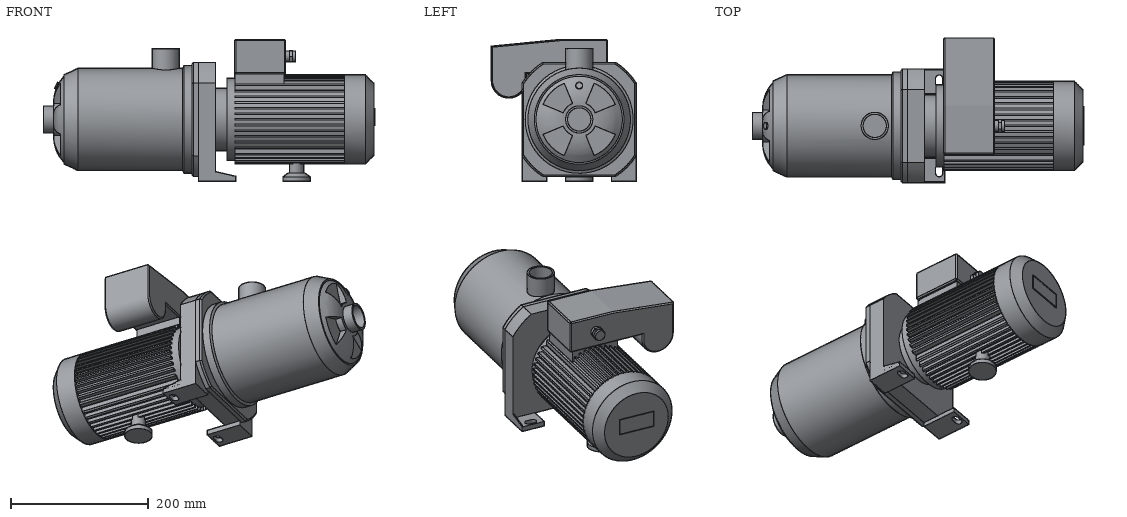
import cadquery as cq
import math


cover_face = 15.0
casing_front = 30.0
cone_end = 50.0
collar_taper_start = 202.5
collar_front = 204.5
flange_front = 216.0
bracket_front = 225.0
bracket_back = 250.5
core_front = 266.5
fins_front = 278.0
fan_cover_front = 438.0
fan_cover_cone = 467.5
fan_cover_back = 480.8
overall_length = 482.0

casing_radius = 149.0 / 2
casing_front_radius = 130.0 / 2
collar_radius = 156.5 / 2
port_radius = 39.5 / 2
port_bore = 33.8
discharge_x = 178.0
discharge_top = 102.5

cover_radius = 62.5
boss_radius = 25.0
pocket_floor = 25.0
pocket_count = 4
pocket_angle = 45.0

plug_radius = 10.0 / 2
plug_height = 48.5
plug_depth = 5.0
plug_proud = 2.0

flange_half_width = 83.0
flange_corner_radius = 98.5
flange_chamfer = 2.5
ground = -90.0
foot_inner_y = 47.0
foot_back = 279.5
gusset_top = -75.5
foot_top = -82.5
gusset_thickness = 2.0
slot_width = 10.0
slot_length = 18.0
slot_x = 271.5

neck_radius = 91.0 / 2
core_radius = 120.0 / 2
motor_radius = 130.0 / 2
fin_thickness = 2.5
fin_pitch = 8.0
fins_each_side = 5
fan_cover_end_radius = 52.0
badge_width = 56.0
badge_height = 24.5
badge_centre_z = 3.5

box_front = 277.7
box_back = 352.0
box_near_y = -41.5
box_far_y = 128.0
box_bottom = 66.0
box_top = 116.0
box_far_top = 106.5
box_ridge_y = 29.0
box_chamfer = 2.0
lobe_radius = 25.5
lobe_centre_z = 56.5
seat_back = 349.5
seat_half_width = 37.0

gland_radius = 16.0 / 2
gland_nut_flats = 16.5
gland_z = 91.5
gland_nut_front = 357.5
gland_nut_back = 362.0
gland_end = 366.5

support_x = 368.0
support_radius = 40.0 / 2
support_shoulder_radius = 12.0
support_stem_radius = 10.5
support_rim_top = -83.5
support_shoulder_top = -77.5
support_stem_top = -58.0


def turned(profile):
    """Solid of revolution about the shaft from (x, radius) points."""
    outline = [(profile[0][0], 0), *profile, (profile[-1][0], 0)]
    return cq.Workplane("XY").polyline(outline).close().revolve(360, (0, 0, 0), (1, 0, 0))


def shaft_cylinder(x_start, x_end, radius, y=0.0, z=0.0):
    return cq.Workplane("YZ", origin=(x_start, y, z)).circle(radius).extrude(x_end - x_start)


def box_between(x_range, y_range, z_range):
    size = [high - low for low, high in (x_range, y_range, z_range)]
    return cq.Workplane("XY").box(*size, centered=False).translate((x_range[0], y_range[0], z_range[0]))


def make_casing():
    """Pump barrel with its rear collar and the upright discharge nozzle."""
    barrel = turned([
        (casing_front, casing_front_radius),
        (cone_end, casing_radius),
        (collar_taper_start, casing_radius),
        (collar_front, collar_radius),
        (flange_front, collar_radius),
    ])
    nozzle = cq.Workplane("XY").center(discharge_x, 0).circle(port_radius).extrude(discharge_top)
    bore = (
        cq.Workplane("XY", origin=(discharge_x, 0, casing_radius))
        .circle(port_bore / 2)
        .extrude(discharge_top - casing_radius)
    )
    return barrel.union(nozzle).cut(bore)


dome_rise = cover_radius - boss_radius
dome_depth = casing_front - cover_face
dome_radius = (dome_rise**2 + dome_depth**2) / (2 * dome_depth)
dome_centre_x = cover_face + dome_radius


def dome_x(radius):
    """Position along the shaft of the dome surface at a distance from the shaft."""
    return dome_centre_x - math.sqrt(dome_radius**2 - (radius - boss_radius) ** 2)


def make_plug():
    """Vent plug, set square to the dome surface."""
    normal = (dome_x(plug_height) - dome_centre_x, 0, plug_height - boss_radius)
    surface_point = cq.Vector(dome_x(plug_height), 0, plug_height)
    start = surface_point - cq.Vector(*normal).normalized() * plug_depth
    plane = cq.Plane(origin=start.toTuple(), xDir=(0, 1, 0), normal=normal)
    return cq.Workplane(plane).circle(plug_radius).extrude(plug_depth + plug_proud)


def make_cover(plug):
    """Domed front cover with the suction nozzle and four pockets between its arms."""
    dome = (
        cq.Workplane("XY")
        .moveTo(cover_face, 0)
        .lineTo(cover_face, boss_radius)
        .threePointArc(
            (dome_x(boss_radius + dome_rise / 2), boss_radius + dome_rise / 2),
            (casing_front, cover_radius),
        )
        .lineTo(casing_front, 0)
        .close()
        .revolve(360, (0, 0, 0), (1, 0, 0))
    )
    half_angle = math.radians(pocket_angle / 2)
    reach = 2 * cover_radius
    side = reach * math.tan(half_angle)
    wedge = (
        cq.Workplane("YZ")
        .polyline([(0, 0), (reach, -side), (reach, side)])
        .close()
        .extrude(pocket_floor)
        .cut(shaft_cylinder(0, pocket_floor, boss_radius))
    )
    for index in range(pocket_count):
        angle = (index + 0.5) * 360 / pocket_count
        dome = dome.cut(wedge.rotate((0, 0, 0), (1, 0, 0), angle))
    nozzle = shaft_cylinder(0, cover_face, port_radius)
    bore = shaft_cylinder(0, cover_face, port_bore / 2)
    return dome.union(nozzle).cut(bore).cut(plug)


def rounded_plate(x_start, x_end):
    """Square plate whose corners lie on a circle about the shaft."""
    half = flange_half_width
    square = box_between((x_start, x_end), (-half, half), (-half, half))
    return square.intersect(shaft_cylinder(x_start, x_end, flange_corner_radius))


def make_flange():
    """Flange plate with rounded corners and a chamfered front rim."""
    return rounded_plate(flange_front, bracket_front).faces("<X").edges().chamfer(flange_chamfer)


def make_bracket():
    """Plate with rounded top corners, standing on two slotted feet with thin outer gussets."""
    half = flange_half_width
    lower_half = box_between((bracket_front, bracket_back), (-half, half), (-half, 0))
    plate = rounded_plate(bracket_front, bracket_back).union(lower_half)
    foot_centre_y = (half + foot_inner_y) / 2
    foot = (
        box_between((bracket_front, foot_back), (foot_inner_y, half), (ground, foot_top))
        .cut(
            cq.Workplane("XY", origin=(slot_x, foot_centre_y, ground))
            .slot2D(slot_length, slot_width, 90)
            .extrude(foot_top - ground)
        )
    )
    gusset = (
        cq.Workplane("XZ", origin=(0, half, 0))
        .polyline([(bracket_back, foot_top), (foot_back, foot_top), (bracket_back, gusset_top)])
        .close()
        .extrude(gusset_thickness)
    )
    side = foot.union(gusset)
    return plate.union(side).union(side.mirror("XZ"))


def make_motor(support):
    """Motor frame: neck, core, crossed sets of flat fins and the seat of the terminal box."""
    fin_length = fan_cover_front - fins_front
    fins = shaft_cylinder(fins_front, fan_cover_front, core_radius)
    for index in range(-fins_each_side, fins_each_side + 1):
        offset = index * fin_pitch
        sheet = (
            cq.Workplane("YZ", origin=(fins_front, 0, offset))
            .rect(2 * motor_radius, fin_thickness)
            .extrude(fin_length)
        )
        fins = fins.union(sheet).union(sheet.rotate((0, 0, 0), (1, 0, 0), 90))
    fins = fins.intersect(shaft_cylinder(fins_front, fan_cover_front, motor_radius))
    seat = box_between(
        (fins_front, seat_back), (-seat_half_width, seat_half_width), (0, box_bottom)
    )
    neck = shaft_cylinder(bracket_back, core_front, neck_radius)
    core = shaft_cylinder(core_front, fins_front, core_radius)
    return fins.union(core).union(neck).union(seat).cut(support)


def make_fan_cover():
    """Rear fan cover with a tapered end and a raised badge on it."""
    shell = turned([
        (fan_cover_front, motor_radius),
        (fan_cover_cone, motor_radius),
        (fan_cover_back, fan_cover_end_radius),
    ])
    badge = (
        cq.Workplane("YZ", origin=(fan_cover_back, 0, badge_centre_z))
        .rect(badge_width, badge_height)
        .extrude(overall_length - fan_cover_back)
    )
    return shell.union(badge)


def make_terminal_box():
    """Control box that overhangs the motor and ends in a rounded hanging lobe."""
    lobe_centre_y = box_far_y - lobe_radius
    lobe_inner_y = lobe_centre_y - lobe_radius
    return (
        cq.Workplane("YZ", origin=(box_front, 0, 0))
        .moveTo(box_near_y, box_bottom)
        .lineTo(box_near_y, box_top)
        .lineTo(box_ridge_y, box_top)
        .lineTo(box_far_y, box_far_top)
        .lineTo(box_far_y, lobe_centre_z)
        .threePointArc((lobe_centre_y, lobe_centre_z - lobe_radius), (lobe_inner_y, lobe_centre_z))
        .lineTo(lobe_inner_y, box_bottom)
        .close()
        .extrude(box_back - box_front)
        .faces("<X or >X or <Y")
        .edges()
        .chamfer(box_chamfer)
    )


def make_gland():
    """Cable gland with a hexagonal nut."""
    body = shaft_cylinder(box_back, gland_end, gland_radius, z=gland_z)
    nut = (
        cq.Workplane("YZ", origin=(gland_nut_front, 0, gland_z))
        .polygon(6, gland_nut_flats, circumscribed=True)
        .extrude(gland_nut_back - gland_nut_front)
        .rotate((0, 0, gland_z), (1, 0, gland_z), 30)
    )
    return body.union(nut)


def make_support():
    """Round foot under the motor, with its stem let into the frame."""
    profile = [
        (0, ground),
        (support_radius, ground),
        (support_radius, support_rim_top),
        (support_shoulder_radius, support_shoulder_top),
        (support_stem_radius, support_shoulder_top),
        (support_stem_radius, support_stem_top),
        (0, support_stem_top),
    ]
    foot = cq.Workplane("XZ").polyline(profile).close().revolve(360, (0, 0, 0), (0, 1, 0))
    return foot.translate((support_x, 0, 0))


plug = make_plug()
support = make_support()
casing = make_casing()
cover = make_cover(plug)
flange = make_flange()
bracket = make_bracket()
motor = make_motor(support)
fan_cover = make_fan_cover()
terminal_box = make_terminal_box()
gland = make_gland()

result = cq.Compound.makeCompound([
    casing.val(),
    cover.val(),
    plug.val(),
    flange.val(),
    bracket.val(),
    motor.val(),
    fan_cover.val(),
    terminal_box.val(),
    gland.val(),
    support.val(),
])